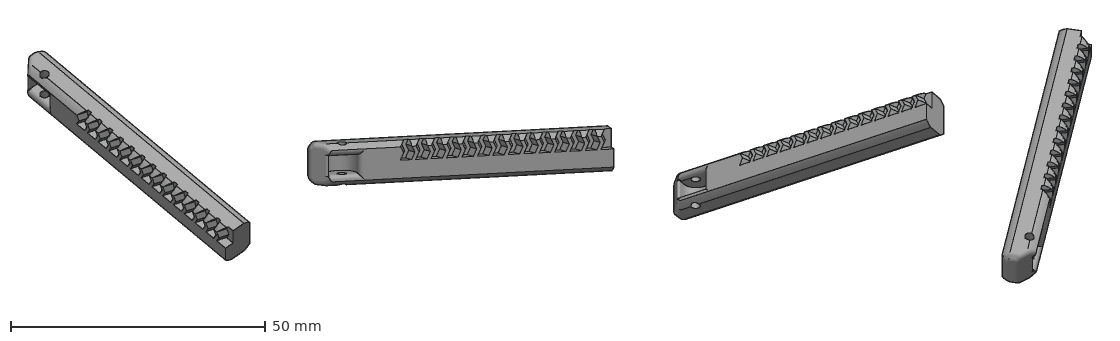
import cadquery as cq
import math

length = 60.95
width = 6.45
height = 8.4
side_radius = 4.5

module = 1.0
pressure_angle = math.radians(20)
helix_angle = math.radians(25)
pitch = math.pi * module
tooth_depth = 2 * module
gap_count = 14
first_gap_x = 19.3
rack_floor_z = 0.5
peak_z = 1.95
valley_z = 3.2

facet_size = width / 2
end_chamfer = module
nose_rounding = module

pin_diameter = 1.8
pin_x = 6.1
pin_inset = 1.9
pocket_x = 6.15
pocket_width = 6.05
pocket_height = 3.9
pocket_depth = 5.0
pocket_corner_radius = 2.8
lip_radius = module
facet_lip_radius = 0.35
facet_lip_height = 4.25

front_y = -width / 2
top_z = height / 2
pin_y = front_y + pin_inset
overlap = 0.6


def upright_cylinder(radius, x, y):
    return cq.Workplane("XY", origin=(x, y, -height / 2)).circle(radius).extrude(height)


def make_body():
    """Bar with trimmed long edges and a chamfered, rounded nose."""
    bar = cq.Workplane("XY").box(length, width, height).translate((length / 2, 0, 0))
    bar = bar.intersect(cq.Workplane("YZ").circle(side_radius).extrude(length))

    reach = facet_size + 2 * overlap
    corner = (
        cq.Workplane("XY", origin=(-overlap, front_y - overlap, -height / 2))
        .polyline([(0, 0), (reach, 0), (0, reach)])
        .close()
        .extrude(height)
    )
    bar = bar.cut(corner)

    bar = bar.faces("<X").edges("not(|Z and <Y)").chamfer(end_chamfer)

    edge_clearance = 0.05
    nose_zone = cq.selectors.BoxSelector(
        (-overlap, -width, -height),
        (facet_size - edge_clearance, width, height),
    )
    return bar.edges(nose_zone).fillet(nose_rounding)


def make_pocket():
    """Round-backed pocket whose mouth flares outward as a quarter round on all four sides."""
    inner = cq.Workplane("XY").box(pocket_width, pocket_depth, pocket_height)
    inner = inner.translate((pocket_x, front_y + pocket_depth / 2, 0))
    inner = inner.edges("|Z and >Y").fillet(pocket_corner_radius)

    mouth_width = pocket_width + 2 * lip_radius
    mouth_height = pocket_height + 2 * lip_radius
    lip_y = front_y + lip_radius
    mouth = cq.Workplane("XY").box(mouth_width, lip_radius, mouth_height)
    mouth = mouth.translate((pocket_x, front_y + lip_radius / 2, 0))
    for side in (-1, 1):
        level_lip = cq.Workplane("YZ", origin=(0, lip_y, side * mouth_height / 2))
        mouth = mouth.cut(level_lip.circle(lip_radius).extrude(length))
        mouth = mouth.cut(upright_cylinder(lip_radius, pocket_x + side * mouth_width / 2, lip_y))
    return inner.union(mouth)


def make_facet_lip():
    """Cutter that rounds the edge between the nose facet and the left wall of the pocket."""
    wall_x = pocket_x - pocket_width / 2
    corner_y = front_y + facet_size - wall_x
    tangent_length = facet_lip_radius / math.tan(math.radians(45) / 2)
    facet_step = tangent_length * math.sqrt(0.5)
    wedge = (
        cq.Workplane("XY", origin=(wall_x, corner_y, -facet_lip_height / 2))
        .polyline([(0, 0), (0, tangent_length), (-facet_step, facet_step)])
        .close()
        .extrude(facet_lip_height)
    )
    rounding = upright_cylinder(
        facet_lip_radius, wall_x - facet_lip_radius, corner_y + tangent_length
    )
    return wedge.cut(rounding)


def make_rack_gap(peak_x, right_end=None):
    """One zigzag tooth gap; right_end, when given, replaces its right flank by a flat end."""
    flank_slope = math.tan(pressure_angle)
    half_mouth = pitch / 4 + (module + overlap) * flank_slope
    half_floor = pitch / 4 - (tooth_depth - module) * flank_slope

    def outline(z, drop_from_peak):
        x = peak_x - drop_from_peak * math.tan(helix_angle)
        right_mouth = x + half_mouth if right_end is None else right_end
        right_floor = x + half_floor if right_end is None else right_end
        corners = [
            cq.Vector(x - half_mouth, front_y - overlap, z),
            cq.Vector(right_mouth, front_y - overlap, z),
            cq.Vector(right_floor, front_y + tooth_depth, z),
            cq.Vector(x - half_floor, front_y + tooth_depth, z),
        ]
        return cq.Wire.makePolygon(corners, close=True)

    valley_drop = valley_z - peak_z
    cutter_top_z = top_z + overlap
    outlines = [
        outline(rack_floor_z, peak_z - rack_floor_z),
        outline(peak_z, 0),
        outline(valley_z, valley_drop),
        outline(cutter_top_z, valley_drop - (cutter_top_z - valley_z)),
    ]
    return cq.Workplane(cq.Solid.makeLoft(outlines, True))


result = make_body()
result = result.cut(make_pocket()).cut(make_facet_lip())
result = result.cut(upright_cylinder(pin_diameter / 2, pin_x, pin_y))

for i in range(gap_count - 1):
    result = result.cut(make_rack_gap(first_gap_x + i * pitch))

last_gap_x = first_gap_x + (gap_count - 1) * pitch
result = result.cut(make_rack_gap(last_gap_x, right_end=length + overlap)).clean()